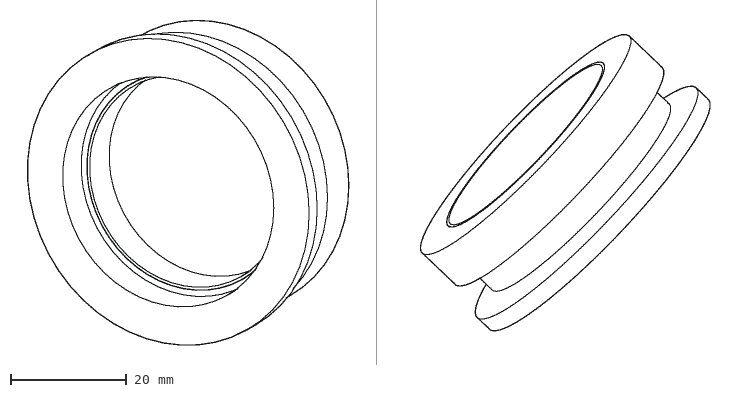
import cadquery as cq
import math

total_length = 17.8
rim_diameter = 55.0
rim_thickness = 3.0
clamp_angle = 15.0
neck_diameter = 44.5
collar_diameter = 52.0
collar_length = 8.05

front_bore_diameter = 41.2
front_bore_depth = 6.95
rear_bore_diameter = 39.0

sleeve_outer_diameter = 38.9
sleeve_inner_diameter = 37.9
sleeve_front = front_bore_depth
window_front = 14.25

cone_length = (rim_diameter - neck_diameter) / 2 * math.tan(math.radians(clamp_angle))
neck_front = rim_thickness + cone_length
collar_front = total_length - collar_length


def disc(diameter, front, back):
    """Solid cylinder about the Y axis, from Y = front to Y = back."""
    return (
        cq.Workplane("XZ", origin=(0, front, 0))
        .circle(diameter / 2)
        .extrude(front - back)
    )


def make_flange():
    """Turned flange: clamping rim, neck and rear collar with a stepped bore."""
    rim_radius = rim_diameter / 2
    neck_radius = neck_diameter / 2
    collar_radius = collar_diameter / 2
    front_bore_radius = front_bore_diameter / 2
    rear_bore_radius = rear_bore_diameter / 2
    section = [
        (front_bore_radius, 0),
        (rim_radius, 0),
        (rim_radius, rim_thickness),
        (neck_radius, neck_front),
        (neck_radius, collar_front),
        (collar_radius, collar_front),
        (collar_radius, total_length),
        (rear_bore_radius, total_length),
        (rear_bore_radius, front_bore_depth),
        (front_bore_radius, front_bore_depth),
    ]
    return cq.Workplane("XY").polyline(section).close().revolve(360, (0, 0, 0), (0, 1, 0))


def make_sleeve():
    """Thin tube standing in the rear bore with a narrow gap around it."""
    tube = disc(sleeve_outer_diameter, sleeve_front, total_length)
    return tube.cut(disc(sleeve_inner_diameter, sleeve_front, total_length))


def make_window():
    """Flat window that closes the rear of the sleeve."""
    return disc(sleeve_inner_diameter, window_front, total_length)


flange = make_flange()
sleeve = make_sleeve()
window = make_window()

result = cq.Compound.makeCompound([flange.val(), sleeve.val(), window.val()])